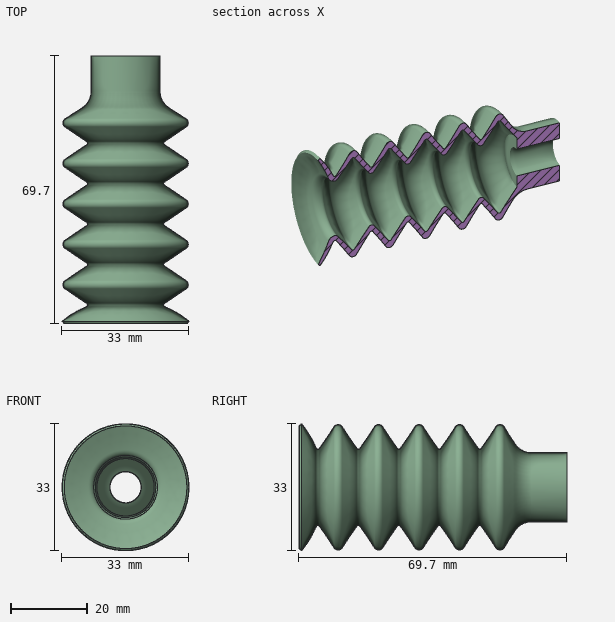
import cadquery as cq
import math

LENGTH = 69.65

FOLD_COUNT = 5
PITCH = 10.5
FIRST_ROOT_Y = 4.9
CREST_RADIUS = 16.3
CREST_ROUND = 1.25
ROOT_RADIUS = 9.9
ROOT_ROUND = 0.5

INNER_ROOT_RADIUS = 7.9
LIP_ROOT_RADIUS = 8.3
INNER_ROOT_ROUND = 1.0
INNER_CREST_RADIUS = 14.1
INNER_CREST_ROUND = 0.5

LIP_RADIUS = 16.5
LIP_EDGE_Y = 0.6
MOUTH_RADIUS = 15.95
LIP_FILLET = 2.0
LIP_TILT = math.radians(67.5)
MOUTH_TILT = math.radians(70)

NECK_RADIUS = 9.0
NECK_ROUND = 5.0
NECK_START_Y = 60.3
BORE_RADIUS = 4.05
CHAMBER_END_RADIUS = 7.45

CREST = 1
ROOT = -1


def make_round(kind, tip_radius, y, size):
    """One rounded fold tip: its kind, the centre of its arc and the arc radius."""
    return kind, tip_radius - kind * size, y, size


def point_on(fold, tilt):
    """Point on a fold arc, `tilt` away from the tip (positive towards +Y)."""
    kind, center_radius, y, size = fold
    return center_radius + kind * size * math.cos(tilt), y + size * math.sin(tilt)


def flank_tilt(fold, neighbour):
    """Tilt at which the straight flank shared with a neighbouring fold leaves the arc."""
    radial = abs(fold[1] - neighbour[1])
    axial = neighbour[2] - fold[2]
    reach = math.hypot(radial, axial)
    tilt = math.pi - math.atan2(abs(axial), radial) - math.acos((fold[3] + neighbour[3]) / reach)
    return math.copysign(tilt, axial)


def add_folds(path, folds, first_tilt, last_tilt):
    """Append alternating crest and root arcs, joined by tangent flanks.

    The path must already stand on the first fold arc at `first_tilt`.
    """
    start = first_tilt
    for index, fold in enumerate(folds):
        is_last = index == len(folds) - 1
        end = last_tilt if is_last else flank_tilt(fold, folds[index + 1])
        path = path.threePointArc(point_on(fold, (start + end) / 2), point_on(fold, end))
        if not is_last:
            start = flank_tilt(folds[index + 1], fold)
            path = path.lineTo(*point_on(folds[index + 1], start))
    return path


def tangent_arc_middle(base, tip, tilt):
    """Middle of the arc that leaves `base` at the steepness `tilt` and ends at `tip`."""
    chord_radial = tip[0] - base[0]
    chord_axial = base[1] - tip[1]
    bend = tilt - math.atan2(chord_radial, chord_axial)
    bulge = math.tan(bend / 2) / 2
    return (
        (base[0] + tip[0]) / 2 + bulge * chord_axial,
        (base[1] + tip[1]) / 2 + bulge * chord_radial,
    )


outer_folds = []
inner_folds = []
for number in range(FOLD_COUNT):
    root_y = FIRST_ROOT_Y + number * PITCH
    crest_y = root_y + PITCH / 2
    inner_radius = LIP_ROOT_RADIUS if number == 0 else INNER_ROOT_RADIUS
    outer_folds.append(make_round(ROOT, ROOT_RADIUS, root_y, ROOT_ROUND))
    outer_folds.append(make_round(CREST, CREST_RADIUS, crest_y, CREST_ROUND))
    inner_folds.append(make_round(ROOT, inner_radius, root_y, INNER_ROOT_ROUND))
    inner_folds.append(make_round(CREST, INNER_CREST_RADIUS, crest_y, INNER_CREST_ROUND))

outer_folds.append(make_round(ROOT, NECK_RADIUS, NECK_START_Y, NECK_ROUND))
inner_folds.reverse()

last_flank_tilt = flank_tilt(inner_folds[0], inner_folds[1])
last_flank_start = point_on(inner_folds[0], -last_flank_tilt)
flank_rise = (last_flank_start[0] - CHAMBER_END_RADIUS) / math.tan(-last_flank_tilt)
chamber_end_y = last_flank_start[1] + flank_rise

mouth = (MOUTH_RADIUS, 0)
lip_edge = (LIP_RADIUS, LIP_EDGE_Y)
lip_base = point_on(outer_folds[0], -LIP_TILT)

profile = cq.Workplane("XY").moveTo(*mouth).lineTo(*lip_edge)
profile = profile.threePointArc(tangent_arc_middle(lip_base, lip_edge, LIP_TILT), lip_base)
profile = add_folds(profile, outer_folds, -LIP_TILT, 0)
profile = profile.lineTo(NECK_RADIUS, LENGTH)

profile = profile.lineTo(BORE_RADIUS, LENGTH).lineTo(BORE_RADIUS, chamber_end_y)
profile = profile.lineTo(CHAMBER_END_RADIUS, chamber_end_y)
profile = profile.lineTo(*last_flank_start)
profile = add_folds(profile, inner_folds, -last_flank_tilt, 0)
lip_fillet = make_round(ROOT, LIP_ROOT_RADIUS, FIRST_ROOT_Y, LIP_FILLET)
mouth_base = point_on(lip_fillet, -MOUTH_TILT)
profile = profile.threePointArc(point_on(lip_fillet, -MOUTH_TILT / 2), mouth_base)
profile = profile.threePointArc(tangent_arc_middle(mouth_base, mouth, MOUTH_TILT), mouth).close()

result = profile.revolve(360, (0, 0, 0), (0, 1, 0))